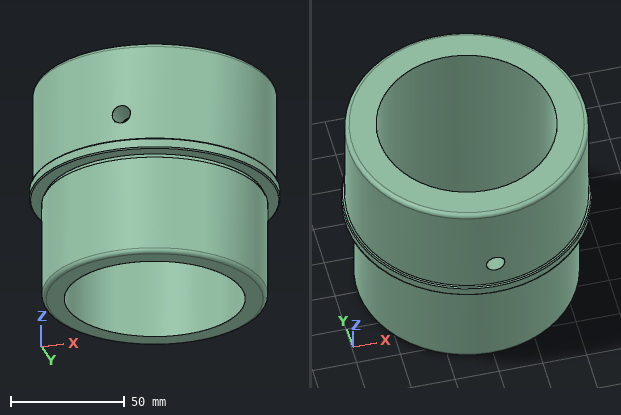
import cadquery as cq
import math

total_height = 100.0
bore_diameter = 80.0
lower_diameter = 100.0
upper_diameter = 108.0
collar_diameter = 111.0
collar_bottom = 48.0
collar_thickness = 5.0
end_round = 2.0
collar_chamfer = 0.5
neck_depth = 1.0
neck_height = 2.0
cross_hole_diameter = 8.3
cross_hole_height = 66.0

lower_radius = lower_diameter / 2
collar_top = collar_bottom + collar_thickness


def cylinder(diameter, bottom, top):
    """Upright cylinder between two heights."""
    return cq.Workplane("XY").workplane(offset=bottom).circle(diameter / 2).extrude(top - bottom)


spigot = cylinder(lower_diameter, 0, collar_bottom).faces("<Z").edges().fillet(end_round)

collar = cylinder(collar_diameter, collar_bottom, collar_top).edges("%CIRCLE").chamfer(collar_chamfer)

sleeve = cylinder(upper_diameter, collar_top, total_height).faces(">Z").edges().fillet(end_round)

body = spigot.union(collar).union(sleeve)

neck_radius = lower_radius - neck_depth
curve_radius = (neck_depth**2 + neck_height**2) / (2 * neck_depth)
half_angle = math.asin(neck_height / curve_radius) / 2
neck_mid_point = (
    neck_radius + curve_radius * (1 - math.cos(half_angle)),
    collar_bottom - curve_radius * math.sin(half_angle),
)
relief = (
    cq.Workplane("XZ")
    .moveTo(neck_radius, collar_bottom)
    .threePointArc(neck_mid_point, (lower_radius, collar_bottom - neck_height))
    .lineTo(lower_radius, collar_bottom)
    .close()
    .revolve(360, (0, 0, 0), (0, 1, 0))
)

bore = cylinder(bore_diameter, 0, total_height)

cross_hole = (
    cq.Workplane("XZ")
    .center(0, cross_hole_height)
    .circle(cross_hole_diameter / 2)
    .extrude(collar_diameter / 2)
)

result = body.cut(relief).cut(bore).cut(cross_hole)